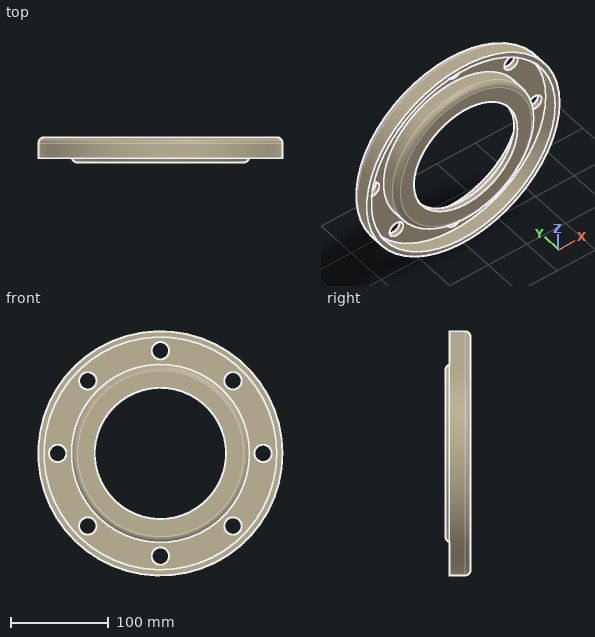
import cadquery as cq

wall = 6.0
outer_radius = 125.0
hub_radius = 91.0
bore_radius = 67.0
rim_depth = 21.8
total_depth = 26.0
edge_radius = 6.0
bolt_circle_radius = 105.0
bolt_hole_radius = 8.8
bolt_count = 8


def disc(radius, back, front):
    """Cylinder about Y; back and front are distances from the rear face towards -Y."""
    return cq.Workplane("XZ").workplane(offset=back).circle(radius).extrude(front - back)


def rim_dish():
    """Shallow dish open to the front, with its rear outer edge rounded."""
    dish = disc(outer_radius, 0, rim_depth).faces(">Y").edges().fillet(edge_radius)
    return dish.cut(disc(outer_radius - wall, wall, rim_depth))


def hub():
    """Raised centre with a rounded front edge."""
    return disc(hub_radius, 0, total_depth).faces("<Y").edges().fillet(edge_radius)


def bolt_holes():
    """Through holes evenly spaced on the bolt circle."""
    return (
        cq.Workplane("XZ")
        .polarArray(bolt_circle_radius, 0, 360, bolt_count)
        .circle(bolt_hole_radius)
        .extrude(wall)
    )


hub_recess = disc(hub_radius - wall, 0, total_depth - wall)
bore = disc(bore_radius, 0, total_depth)

shell = rim_dish().union(hub()).cut(hub_recess)
recess_mouth = cq.selectors.RadiusNthSelector(0)
shell = shell.faces(">Y").edges(recess_mouth).fillet(edge_radius)

result = shell.cut(bore).cut(bolt_holes())